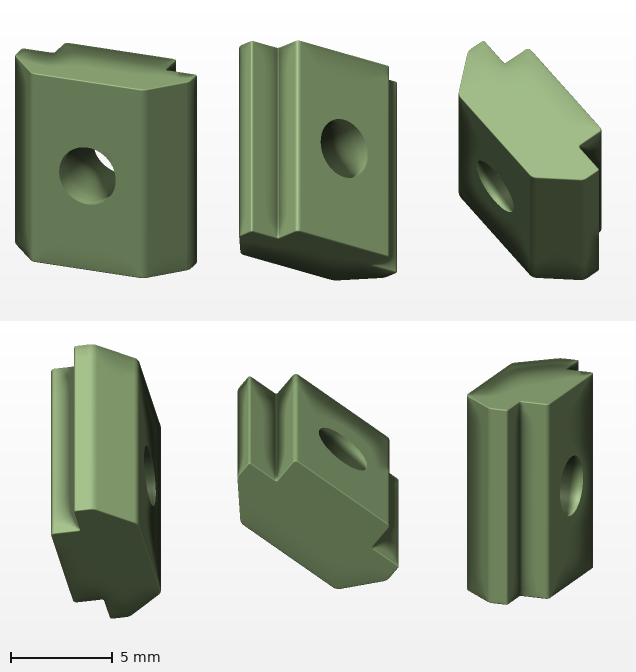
import cadquery as cq

length = 10.0
width = 9.3
depth = 4.4
neck_width = 5.94
neck_height = 1.5
wing_side_height = 0.98
hole_diameter = 3.0

neck_radius = 0.2
wing_radius = 0.1
root_radius = 0.1
flank_radius = 0.5
rim_radius = 0.06

half_width = width / 2
half_neck = neck_width / 2
back = depth / 2
front = -depth / 2
shoulder = back - neck_height
flank_top = shoulder - wing_side_height


def fillet_corners(body, half_span, y, radius):
    """Round the pair of lengthwise edges at x = +/-half_span on the given y."""
    reach = 0.02
    for x in (-half_span, half_span):
        selector = cq.selectors.BoxSelector((x - reach, y - reach, -reach), (x + reach, y + reach, reach))
        body = body.edges("|Z").edges(selector).fillet(radius)
    return body


right_outline = [
    (half_neck, front),
    (half_width, flank_top),
    (half_width, shoulder),
    (half_neck, shoulder),
    (half_neck, back),
]
left_outline = [(-x, y) for x, y in reversed(right_outline)]
body = cq.Workplane("XY").polyline(right_outline + left_outline).close().extrude(length / 2, both=True)

body = fillet_corners(body, half_neck, front, flank_radius)
body = fillet_corners(body, half_width, flank_top, flank_radius)
body = fillet_corners(body, half_width, shoulder, wing_radius)
body = fillet_corners(body, half_neck, shoulder, root_radius)
body = fillet_corners(body, half_neck, back, neck_radius)

body = body.faces("<Z or >Z").edges().fillet(rim_radius)

hole = cq.Workplane("XZ").circle(hole_diameter / 2).extrude(depth, both=True)
result = body.cut(hole)